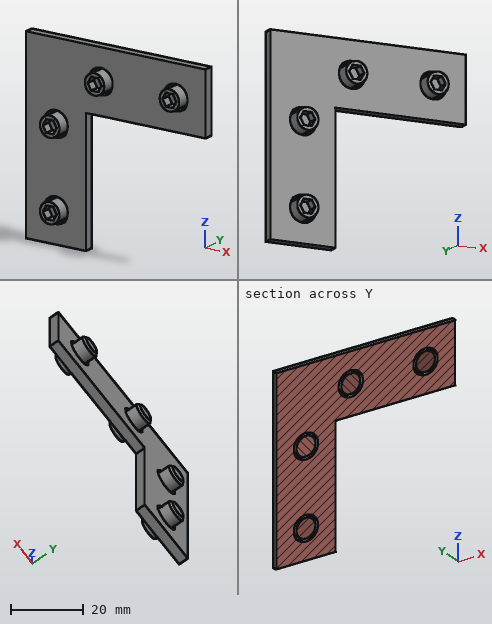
import cadquery as cq

plate_size = 60.0
arm_width = plate_size / 3
plate_thickness = 3.0
hole_diameter = 8.0

near_screw = 25.0
far_screw = 2 * near_screw
arm_center = arm_width / 2
screw_places = [
    (near_screw, plate_size - arm_center),
    (far_screw, plate_size - arm_center),
    (arm_center, plate_size - near_screw),
    (arm_center, plate_size - far_screw),
]

screw_diameter = 6.5
screw_length = 10.0
screw_front_reach = plate_thickness
tip_chamfer = 0.7
socket_corner_diameter = 4.6
socket_depth = 3.0


def make_plate():
    """L-shaped plate with one clearance hole for each screw."""
    outline = [
        (0, 0),
        (arm_width, 0),
        (arm_width, plate_size - arm_width),
        (plate_size, plate_size - arm_width),
        (plate_size, plate_size),
        (0, plate_size),
    ]
    blank = cq.Workplane("XZ").polyline(outline).close().extrude(-plate_thickness)
    holes = (
        cq.Workplane("XZ")
        .pushPoints(screw_places)
        .circle(hole_diameter / 2)
        .extrude(-plate_thickness)
    )
    return blank.cut(holes)


def make_screw(x, z):
    """Set screw along Y with a hex socket in front and a chamfered tip behind."""
    front = cq.Workplane("XZ", origin=(x, -screw_front_reach, z))
    shank = front.circle(screw_diameter / 2).extrude(-screw_length)
    shank = shank.faces(">Y").chamfer(tip_chamfer)
    socket = front.polygon(6, socket_corner_diameter).extrude(-socket_depth)
    return shank.cut(socket)


plate = make_plate()
screws = [make_screw(x, z) for x, z in screw_places]

result = cq.Compound.makeCompound([plate.val(), *[screw.val() for screw in screws]])